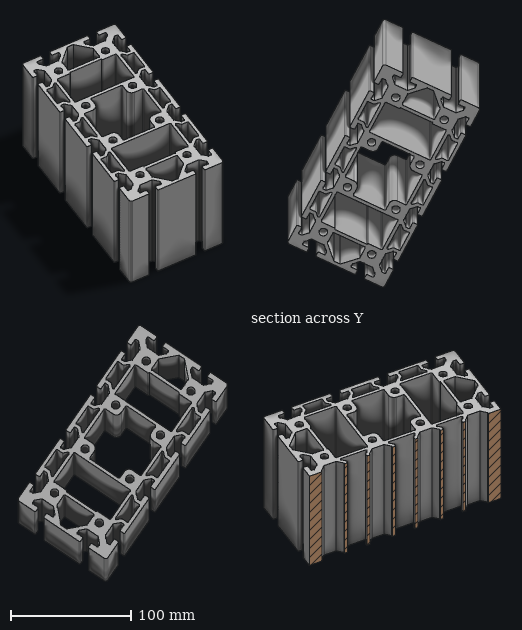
import cadquery as cq

LENGTH_X = 180.0
WIDTH_Y = 90.0
HEIGHT_Z = 100.0
PITCH = 45.0
OUTER_RADIUS = 2.3

SLOT_OPENING = 8.1
SLOT_INNER_WIDTH = 20.9
SLOT_FLOOR_WIDTH = 11.5
LIP_THICKNESS = 4.7
SLOT_DEPTH = 12.5
LIP_RADIUS = 0.9
SLOT_CORNER_RADIUS = 0.5

HOLE_DIAMETER = 6.8
BOSS_WIDTH = 15.0
BOSS_HALF = BOSS_WIDTH / 2
BOSS_RADIUS = 5.0

CHAMBER_HALF_Y = 28.5
CHAMBER_RADIUS = 0.9
PARTITION = 2.9
RELIEF_DEPTH = 1.0
RELIEF_RADIUS = 0.9

END_WALL = 3.0
END_FLAT_HALF = 2.9
END_CORNER_RADIUS = 0.9

SIDE_POCKET_SKIN = 3.0
MIDDLE_POCKET_SKIN = 4.0
POCKET_HALF = 9.0
POCKET_BASE_HALF = 12.2
POCKET_TAPER_START = 9.0
POCKET_DEPTH = 13.7
POCKET_RADIUS = 0.7

INNER_X = PITCH / 2
OUTER_X = INNER_X + PITCH
CORE_Y = PITCH / 2
COLUMNS_X = [-OUTER_X, -INNER_X, INNER_X, OUTER_X]
ROWS_Y = [-CORE_Y, CORE_Y]


def prism(points):
    """Full-height prism over a closed polygon."""
    return cq.Workplane("XY").polyline(points).close().extrude(HEIGHT_Z)


def mirrored_outline(half_points):
    """Complete an outline given by its +X half, mirrored about the Y axis."""
    return half_points + [(-x, y) for x, y in reversed(half_points)]


def box_between(x_min, x_max, half_y):
    """Full-height box between two X positions, centred on Y."""
    width = x_max - x_min
    box = cq.Workplane("XY").rect(width, 2 * half_y).extrude(HEIGHT_Z)
    return box.translate(((x_min + x_max) / 2, 0, 0))


def make_slot():
    """T-slot cutter entering from y = 0 towards -Y, with rounded lips."""
    mouth = SLOT_OPENING / 2
    inner = SLOT_INNER_WIDTH / 2
    floor = SLOT_FLOOR_WIDTH / 2
    shoulder = SLOT_DEPTH - (inner - floor)
    half = (
        cq.Workplane("XY")
        .moveTo(0, 0)
        .lineTo(mouth + LIP_RADIUS, 0)
        .radiusArc((mouth, -LIP_RADIUS), -LIP_RADIUS)
        .lineTo(mouth, LIP_RADIUS - LIP_THICKNESS)
        .radiusArc((mouth + LIP_RADIUS, -LIP_THICKNESS), -LIP_RADIUS)
        .lineTo(inner - SLOT_CORNER_RADIUS, -LIP_THICKNESS)
        .radiusArc((inner, -LIP_THICKNESS - SLOT_CORNER_RADIUS), SLOT_CORNER_RADIUS)
        .lineTo(inner, -shoulder)
        .lineTo(floor, -SLOT_DEPTH)
        .lineTo(0, -SLOT_DEPTH)
        .close()
        .extrude(HEIGHT_Z)
    )
    return half.union(half.mirror("YZ"))


def make_pocket(skin):
    """Pocket cutter below a long side at y = 0, flaring out towards its base."""
    taper_end = POCKET_TAPER_START + POCKET_BASE_HALF - POCKET_HALF
    half = [
        (POCKET_HALF, -skin),
        (POCKET_HALF, -POCKET_TAPER_START),
        (POCKET_BASE_HALF, -taper_end),
        (POCKET_BASE_HALF, -POCKET_DEPTH),
    ]
    return prism(mirrored_outline(half)).edges("|Z").fillet(POCKET_RADIUS)


def make_end_chamber():
    """Chamber behind the +X side, narrowing at 45 degrees towards that side."""
    half_y = CORE_Y - BOSS_HALF
    tip_x = LENGTH_X / 2 - END_WALL
    shoulder_x = tip_x - (half_y - END_FLAT_HALF)
    back_x = OUTER_X - BOSS_HALF + RELIEF_DEPTH + PARTITION
    chamber = prism([
        (back_x, -half_y),
        (shoulder_x, -half_y),
        (tip_x, -END_FLAT_HALF),
        (tip_x, END_FLAT_HALF),
        (shoulder_x, half_y),
        (back_x, half_y),
    ])
    return chamber.edges("|Z and <X").fillet(END_CORNER_RADIUS)


def make_side_chamber():
    """Tall +X chamber with a shallow relief in its outer wall."""
    wall_x = OUTER_X - BOSS_HALF
    chamber = box_between(INNER_X + BOSS_HALF, wall_x, CHAMBER_HALF_Y)
    chamber = chamber.edges("|Z").fillet(CHAMBER_RADIUS)
    relief_half_y = CORE_Y - BOSS_HALF
    relief = box_between(PITCH, wall_x + RELIEF_DEPTH, relief_half_y)
    relief_corners = cq.selectors.BoxSelector(
        (wall_x - RELIEF_RADIUS, -relief_half_y - RELIEF_RADIUS, 0),
        (wall_x + RELIEF_DEPTH / 2, relief_half_y + RELIEF_RADIUS, HEIGHT_Z),
    )
    return chamber.union(relief).edges("|Z").edges(relief_corners).fillet(RELIEF_RADIUS)


def make_centre_chamber():
    """Cross-shaped chamber between the four inner bosses."""
    neck_x = INNER_X - BOSS_HALF
    wide_x = INNER_X + BOSS_HALF - PARTITION
    wide_y = CORE_Y - BOSS_HALF
    tall = box_between(-neck_x, neck_x, CHAMBER_HALF_Y).edges("|Z").fillet(CHAMBER_RADIUS)
    wide = box_between(-wide_x, wide_x, wide_y).edges("|Z").fillet(CHAMBER_RADIUS)
    cross = tall.union(wide)
    boss_corners = cq.selectors.BoxSelector(
        (-neck_x - CHAMBER_RADIUS, -wide_y - CHAMBER_RADIUS, 0),
        (neck_x + CHAMBER_RADIUS, wide_y + CHAMBER_RADIUS, HEIGHT_Z),
    )
    return cross.edges("|Z").edges(boss_corners).fillet(BOSS_RADIUS)


body = cq.Workplane("XY").rect(LENGTH_X, WIDTH_Y).extrude(HEIGHT_Z)
body = body.edges("|Z").fillet(OUTER_RADIUS)

slot = make_slot()
long_side = [slot.translate((x, WIDTH_Y / 2, 0)) for x in COLUMNS_X]
for pocket_x, skin in [(-PITCH, SIDE_POCKET_SKIN), (0, MIDDLE_POCKET_SKIN), (PITCH, SIDE_POCKET_SKIN)]:
    long_side.append(make_pocket(skin).translate((pocket_x, WIDTH_Y / 2, 0)))

side_slot = slot.rotate((0, 0, 0), (0, 0, 1), -90)
short_side = [side_slot.translate((LENGTH_X / 2, y, 0)) for y in ROWS_Y]
short_side += [make_end_chamber(), make_side_chamber()]

for cutter in long_side + short_side:
    body = body.cut(cutter)
    body = body.cut(cutter.rotate((0, 0, 0), (0, 0, 1), 180))

body = body.cut(make_centre_chamber())

core_points = [(x, y) for x in COLUMNS_X for y in ROWS_Y]
body = body.cut(cq.Workplane("XY").pushPoints(core_points).circle(HOLE_DIAMETER / 2).extrude(HEIGHT_Z))

result = body